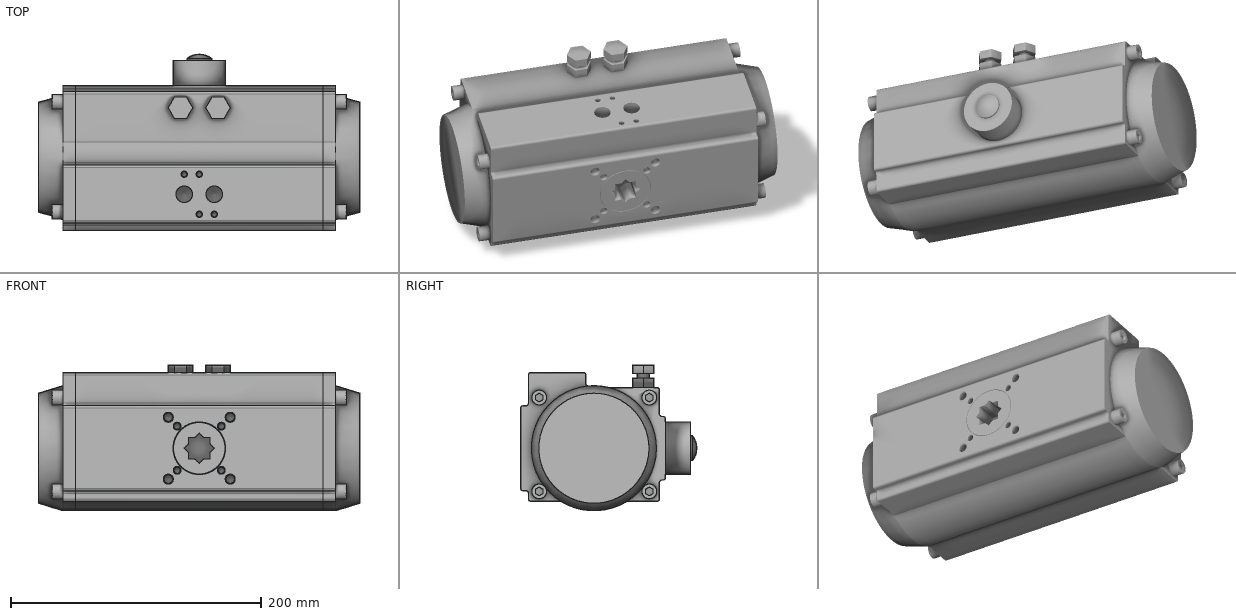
import cadquery as cq
import math


housing_length = 198.0
plate_thickness = 10.0
barrel_diameter = 100.0
side_y = 52.4
base_z = -42.5
deck_z = 48.5
port_block_top_z = 60.5
port_block_wall_y = -6.4
front_rail_y = -58.6
front_rail_half_height = 34.0
rear_rail_y = 57.2
rear_rail_half_height = 25.5
edge_radius = 2.0

overall_length = 257.0
plate_end_x = housing_length / 2 + plate_thickness
cone_length = overall_length / 2 - plate_end_x
cone_end_diameter = 88.0
cap_screw_diameter = 11.8
cap_screw_height = 8.6
cap_screw_socket = 6.0
cap_screw_socket_depth = 3.0
cap_screw_half_pitch = 44.0
cap_screw_center_y = 0.3
cap_screw_upper_z = 40.5
cap_screw_lower_z = -34.5

shaft_diameter = 42.0
shaft_end_y = 77.4
dome_diameter = 20.0
dome_rim_height = 1.4
overall_width = 140.94
shaft_tip_y = front_rail_y + overall_width
star_square = 17.0
star_depth = 19.0
seal_groove_width = 0.4
seal_groove_depth = 1.0

stop_half_pitch = 15.0
stop_y = 39.5
stop_across_flats = 17.0
stop_thread_diameter = 10.0
stop_nut_top_z = 56.1
stop_head_base_z = 59.6
stop_top_z = 66.5

drill_point_angle = 118.0
large_mount_diameter = 6.8
large_mount_mouth = 8.0
large_mount_offset = 24.75
large_mount_depth = 14.0
small_mount_diameter = 5.0
small_mount_mouth = 6.2
small_mount_offset = 17.68
small_mount_depth = 10.0
port_diameter = 13.2
port_half_pitch = 12.0
port_y = -29.6
port_depth = 14.0
valve_screw_diameter = 4.2
valve_screw_mouth = 5.0
valve_screw_offset_y = 16.0
valve_screw_depth = 8.0


def block(y_low, y_high, z_low, z_high, length):
    """Bar along X with the given YZ section, centred on X = 0."""
    bar = cq.Workplane("XY").box(length, y_high - y_low, z_high - z_low)
    return bar.translate((0, (y_low + y_high) / 2, (z_low + z_high) / 2))


def round_edges(body, radius, points):
    """Fillet the X-direction edges that pass through the given (y, z) points."""
    edges = []
    for y, z in points:
        edges += body.edges("|X").edges(cq.selectors.NearestToPointSelector((0, y, z))).vals()
    return body.newObject(edges).fillet(radius)


def profile_bar(length):
    """Outer section shared by the housing and the end plates."""
    bar = block(-side_y, side_y, base_z, deck_z, length)
    bar = bar.union(block(-side_y, port_block_wall_y, base_z, port_block_top_z, length))
    bar = bar.union(block(front_rail_y, 0, -front_rail_half_height, front_rail_half_height, length))
    bar = bar.union(block(0, rear_rail_y, -rear_rail_half_height, rear_rail_half_height, length))
    barrel = cq.Workplane("YZ").circle(barrel_diameter / 2).extrude(length / 2, both=True)
    bar = bar.union(barrel)

    wall_foot_z = math.sqrt((barrel_diameter / 2) ** 2 - port_block_wall_y ** 2)
    rounded = [
        (-side_y, port_block_top_z),
        (port_block_wall_y, port_block_top_z),
        (port_block_wall_y, wall_foot_z),
        (-side_y, base_z),
        (side_y, base_z),
        (side_y, deck_z),
    ]
    for side in (-1, 1):
        rounded += [
            (-side_y, side * front_rail_half_height),
            (front_rail_y, side * front_rail_half_height),
            (side_y, side * rear_rail_half_height),
            (rear_rail_y, side * rear_rail_half_height),
        ]
    return round_edges(bar, edge_radius, rounded)


def drill(diameter, depth, position, direction, mouth_diameter=None):
    """Drill body with a conical point and, if given, a 45 degree countersunk mouth."""
    radius = diameter / 2
    point_length = radius / math.tan(math.radians(drill_point_angle / 2))
    start = cq.Vector(*position)
    axis = cq.Vector(*direction)
    shank = cq.Solid.makeCylinder(radius, depth, start, axis)
    point = cq.Solid.makeCone(radius, 0, point_length, start + axis * depth, axis)
    if mouth_diameter is None:
        return shank.fuse(point)
    mouth_depth = mouth_diameter / 2 - radius
    mouth = cq.Solid.makeCone(mouth_diameter / 2, radius, mouth_depth, start, axis)
    return shank.fuse(point).fuse(mouth)


def mounting_holes():
    """Two square patterns of holes around the shaft on the -Y face."""
    patterns = (
        (large_mount_diameter, large_mount_mouth, large_mount_depth, large_mount_offset),
        (small_mount_diameter, small_mount_mouth, small_mount_depth, small_mount_offset),
    )
    holes = []
    for diameter, mouth, depth, offset in patterns:
        for x_side in (-1, 1):
            for z_side in (-1, 1):
                position = (x_side * offset, front_rail_y, z_side * offset)
                holes.append(drill(diameter, depth, position, (0, 1, 0), mouth))
    return holes


def port_holes():
    """Two air ports and their four valve screw holes on the port block."""
    down = (0, 0, -1)
    holes = []
    for side in (-1, 1):
        port_x = side * port_half_pitch
        holes.append(drill(port_diameter, port_depth, (port_x, port_y, port_block_top_z), down))
        screw_y = port_y - side * valve_screw_offset_y
        for screw_x in (0, port_x):
            position = (screw_x, screw_y, port_block_top_z)
            hole = drill(valve_screw_diameter, valve_screw_depth, position, down, valve_screw_mouth)
            holes.append(hole)
    return holes


def shaft_end():
    """Shaft stub on the +Y side with a domed button on its end."""
    dome_radius = dome_diameter / 2
    rim_y = shaft_end_y + dome_rim_height
    rise = shaft_tip_y - rim_y
    sphere_radius = (dome_radius ** 2 + rise ** 2) / (2 * rise)
    mid_radius = dome_radius / 2
    mid_y = shaft_tip_y - sphere_radius + math.sqrt(sphere_radius ** 2 - mid_radius ** 2)
    half_section = (
        cq.Workplane("XY")
        .moveTo(0, side_y)
        .lineTo(shaft_diameter / 2, side_y)
        .lineTo(shaft_diameter / 2, shaft_end_y)
        .lineTo(dome_radius, shaft_end_y)
        .lineTo(dome_radius, rim_y)
        .threePointArc((mid_radius, mid_y), (0, shaft_tip_y))
        .close()
    )
    return half_section.revolve(360, (0, 0), (0, 1))


def shaft_socket():
    """Eight-pointed socket made of two squares turned by 45 degrees."""
    face = cq.Workplane("XZ", origin=(0, front_rail_y, 0))
    square = face.rect(star_square, star_square).extrude(-star_depth)
    return square.union(square.rotate((0, 0, 0), (0, 1, 0), 45))


def seal_groove():
    """Narrow ring groove around the shaft on the -Y face."""
    outer_radius = shaft_diameter / 2
    face = cq.Workplane("XZ", origin=(0, front_rail_y, 0))
    ring = face.circle(outer_radius).circle(outer_radius - seal_groove_width)
    return ring.extrude(-seal_groove_depth)


def stop_screw(x):
    """Hexagon stop screw with its lock nut, standing on the deck."""
    across_corners = stop_across_flats / math.cos(math.pi / 6)

    def at_height(z):
        return cq.Workplane("XY", origin=(x, stop_y, z))

    nut = at_height(deck_z).polygon(6, across_corners).extrude(stop_nut_top_z - deck_z)
    thread = at_height(deck_z).circle(stop_thread_diameter / 2).extrude(stop_top_z - deck_z)
    head = at_height(stop_head_base_z).polygon(6, across_corners).extrude(stop_top_z - stop_head_base_z)
    return nut.union(thread).union(head)


def make_housing():
    """Housing with its shaft ends, stop screws and drilled holes."""
    body = profile_bar(housing_length).union(shaft_end())
    for side in (-1, 1):
        body = body.union(stop_screw(side * stop_half_pitch))
    body = body.cut(shaft_socket()).cut(seal_groove())
    for hole in mounting_holes() + port_holes():
        body = body.cut(cq.Workplane(hole))
    return body


def make_right_cap():
    """End plate with its tapered cover and four socket head screws, on the +X end."""
    plate = profile_bar(plate_thickness).translate((plate_end_x - plate_thickness / 2, 0, 0))
    end_face = cq.Workplane("YZ", origin=(plate_end_x, 0, 0))
    cone = cq.Workplane(
        cq.Solid.makeCone(
            barrel_diameter / 2,
            cone_end_diameter / 2,
            cone_length,
            cq.Vector(plate_end_x, 0, 0),
            cq.Vector(1, 0, 0),
        )
    )
    screw_points = [
        (cap_screw_center_y + side * cap_screw_half_pitch, z)
        for side in (-1, 1)
        for z in (cap_screw_lower_z, cap_screw_upper_z)
    ]
    heads = end_face.pushPoints(screw_points).circle(cap_screw_diameter / 2).extrude(cap_screw_height)
    socket_corners = cap_screw_socket / math.cos(math.pi / 6)
    socket_floor = end_face.workplane(offset=cap_screw_height - cap_screw_socket_depth)
    sockets = (
        socket_floor.transformed(rotate=(0, 0, 90))
        .pushPoints([(z, -y) for y, z in screw_points])
        .polygon(6, socket_corners)
        .extrude(cap_screw_socket_depth)
    )
    return plate.union(cone).union(heads).cut(sockets)


housing = make_housing()
right_cap = make_right_cap()
left_cap = right_cap.mirror("YZ")

result = cq.Compound.makeCompound([housing.val(), right_cap.val(), left_cap.val()])